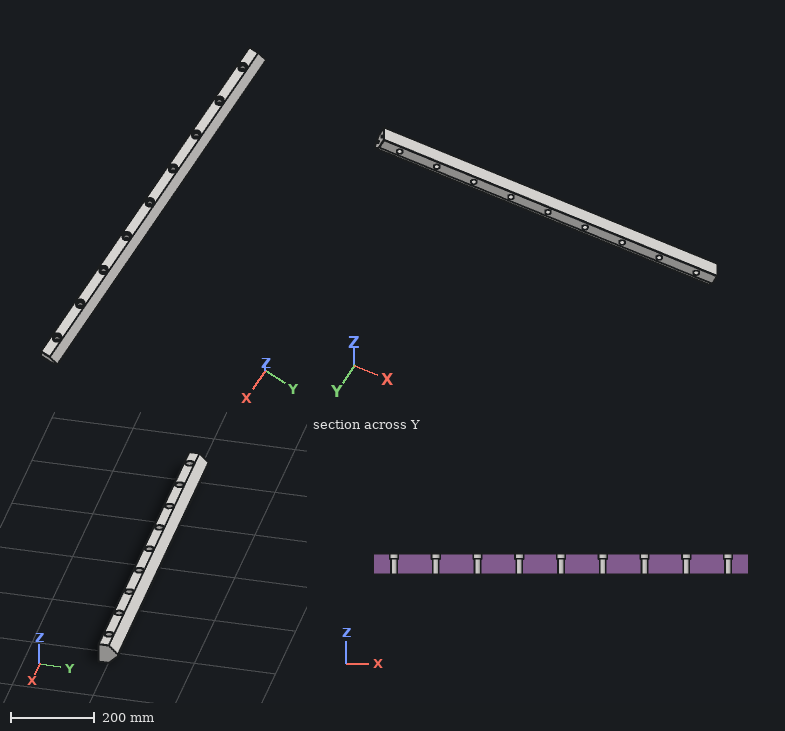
import cadquery as cq

length = 900.0
depth = 48.5
height = 50.0

nose_flat = 5.0
nose_slope = (height - nose_flat) / 2
shoulder_y = depth - nose_slope

edge_chamfer = 1.0

mount_count = 9
mount_pitch = 100.0
mount_start = (length - (mount_count - 1) * mount_pitch) / 2
mount_y = 14.25
mount_diameter = 14.0
counterbore_diameter = 20.0
counterbore_depth = 13.0
counterbore_chamfer = 0.75

end_hole_diameter = 5.25
end_hole_depth = 15.0
end_hole_chamfer = 0.75
end_hole_ys = (11.0, 30.0)


def rail_body():
    """Bar with a flat back on Y = 0, a 45 degree nose toward +Y and chamfered edges."""
    upper = [
        (0, height / 2),
        (shoulder_y, height / 2),
        (depth, nose_flat / 2),
    ]
    lower = [(y, -z) for y, z in reversed(upper)]
    prism = cq.Workplane("YZ").polyline(upper + lower).close().extrude(length)

    box_depth = 2 * depth
    box = cq.Workplane("XY").box(length, box_depth, height, centered=(False, False, True))
    return prism.intersect(box.edges("not(>Y)").chamfer(edge_chamfer))


def chamfered_pin(diameter, pin_length, chamfer):
    """Hole cutter along +Z from the origin, widened by a 45 degree cone at its mouth."""
    radius = diameter / 2
    half_section = [
        (0, 0),
        (radius + chamfer, 0),
        (radius, chamfer),
        (radius, pin_length),
        (0, pin_length),
    ]
    return cq.Workplane("XZ").polyline(half_section).close().revolve(360, (0, 0, 0), (0, 1, 0))


def mounting_holes(body):
    """Cut the row of counterbored through holes, entered from the top."""
    bore = cq.Workplane("XY").circle(mount_diameter / 2).extrude(height)
    counterbore = chamfered_pin(counterbore_diameter, counterbore_depth, counterbore_chamfer)
    cutter = bore.union(counterbore).rotate((0, 0, 0), (1, 0, 0), 180)
    for i in range(mount_count):
        x = mount_start + i * mount_pitch
        body = body.cut(cutter.translate((x, mount_y, height / 2)))
    return body


def end_holes(body):
    """Cut the pair of blind holes in the -X end face."""
    cutter = chamfered_pin(end_hole_diameter, end_hole_depth, end_hole_chamfer)
    cutter = cutter.rotate((0, 0, 0), (0, 1, 0), 90)
    for y in end_hole_ys:
        body = body.cut(cutter.translate((0, y, 0)))
    return body


result = end_holes(mounting_holes(rail_body()))